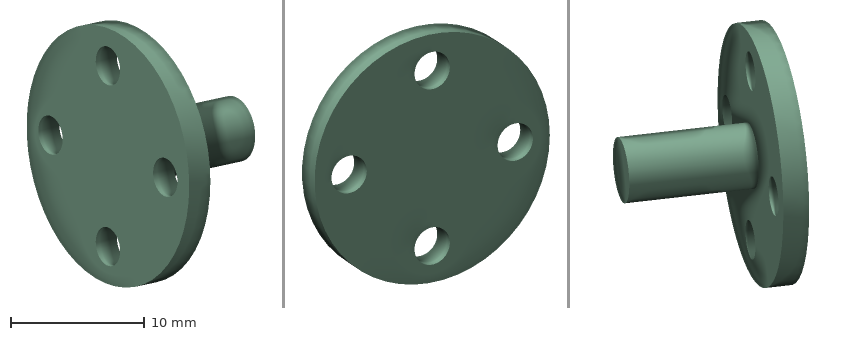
import cadquery as cq

flange_diameter = 20.0
flange_thickness = 2.0

stem_diameter = 5.0
stem_length = 10.0

hole_diameter = 3.0
hole_count = 4
hole_offset = 7.05


def cylinder_along_y(diameter, length, start_y):
    """Solid cylinder on the Y axis, running from start_y toward +Y."""
    return cq.Workplane("XZ", origin=(0, start_y, 0)).circle(diameter / 2).extrude(-length)


flange = cylinder_along_y(flange_diameter, flange_thickness, 0)
stem = cylinder_along_y(stem_diameter, stem_length, flange_thickness)

holes = (
    cq.Workplane("XZ")
    .polarArray(hole_offset, 0, 360, hole_count)
    .circle(hole_diameter / 2)
    .extrude(-flange_thickness)
)

result = flange.cut(holes).union(stem)